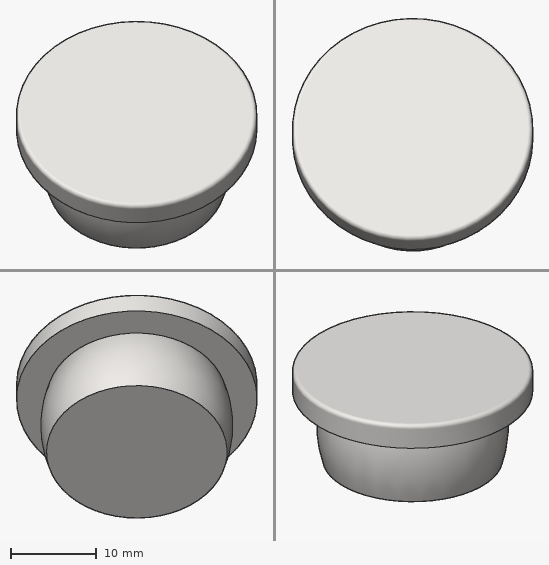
import cadquery as cq

flange_diameter = 28
flange_height = 3.0
rim_fillet = 0.5

total_height = 12.0
body_end_diameter = 21
body_middle_diameter = 22.35
body_height = total_height - flange_height


def make_flange():
    """Disc resting on the body, with a rounded upper rim."""
    disc = cq.Workplane("XY").workplane(offset=body_height)
    disc = disc.circle(flange_diameter / 2).extrude(flange_height)
    return disc.faces(">Z").edges().fillet(rim_fillet)


def make_body():
    """Barrel with an arc-shaped side, turned about the Z axis."""
    end_radius = body_end_diameter / 2
    middle_radius = body_middle_diameter / 2
    return (
        cq.Workplane("XZ")
        .lineTo(end_radius, 0)
        .threePointArc((middle_radius, body_height / 2), (end_radius, body_height))
        .lineTo(0, body_height)
        .close()
        .revolve(360, (0, 0, 0), (0, 1, 0))
    )


result = make_body().union(make_flange())